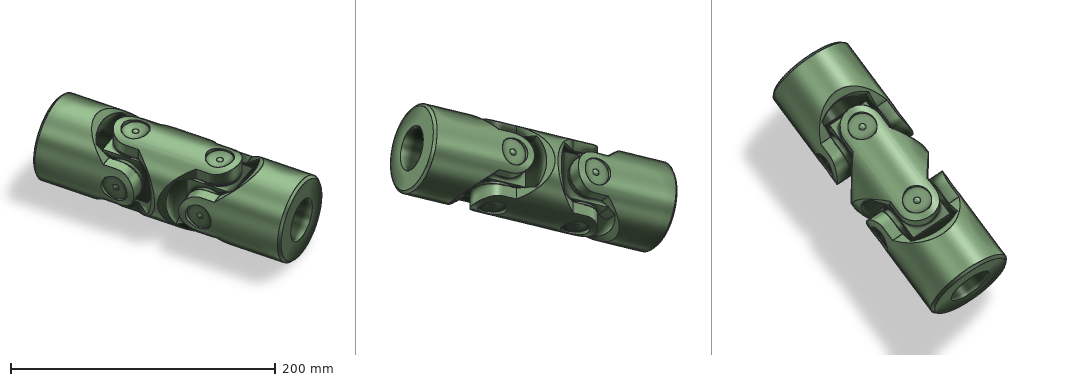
import cadquery as cq
import math

total_length = 212.0
body_diameter = 70.0
bore_diameter = 35.0
end_chamfer = 2.1
joint_spacing = 72.0

tine_width = 34.0
slope_inner_reach = 11.5
hub_slope_outer_reach = 34.0
hub_slot_depth = 33.0
yoke_slope_outer_reach = 34.8
yoke_slot_depth = 34.3
slot_width = 42.6
slot_arch_radius = 35.0
slot_disc_radius = 106.0

cross_length = 38.5
cross_height = 37.7
cross_width = 34.0
collar_diameter = 32.0
pin_diameter = 22.0
pin_reach = 31.8
pin_tip_diameter = 5.3
pin_tip_height = 1.0

body_radius = body_diameter / 2
tine_radius = tine_width / 2
middle_x = total_length / 2
left_joint_x = middle_x - joint_spacing / 2
right_joint_x = middle_x + joint_spacing / 2


def fork_outline(length, slope_outer_reach):
    """Plate whose rounded tine points to +X from the origin; its full-width back is at x = -length."""
    return (
        cq.Workplane("XZ", origin=(0, body_radius, 0))
        .moveTo(-length, body_radius)
        .lineTo(-slope_outer_reach, body_radius)
        .lineTo(-slope_inner_reach, tine_radius)
        .lineTo(0, tine_radius)
        .threePointArc((tine_radius, 0), (0, -tine_radius))
        .lineTo(-slope_inner_reach, -tine_radius)
        .lineTo(-slope_outer_reach, -body_radius)
        .lineTo(-length, -body_radius)
        .close()
        .extrude(body_diameter)
    )


def fork_slot(depth):
    """Slot between the two tines, left by a large disc about Y whose rim is arched outward."""
    half_width = slot_width / 2
    arch_rise = slot_arch_radius - math.sqrt(slot_arch_radius**2 - half_width**2)
    disc_centre_x = slot_disc_radius - depth
    return (
        cq.Workplane("XY", origin=(disc_centre_x, 0, 0))
        .moveTo(0, half_width)
        .lineTo(arch_rise - slot_disc_radius, half_width)
        .threePointArc((-slot_disc_radius, 0), (arch_rise - slot_disc_radius, -half_width))
        .lineTo(0, -half_width)
        .close()
        .revolve(360, (0, 0, 0), (0, 1, 0))
    )


def fork(length, slope_outer_reach, slot_depth):
    """Fork with tines on +Y and -Y, its pin holes at the origin and its back face at x = -length."""
    cylinder = cq.Workplane("YZ", origin=(-length, 0, 0)).circle(body_radius).extrude(length + body_radius)
    outline = fork_outline(length, slope_outer_reach)
    pin_hole = cq.Workplane("XZ").circle(pin_diameter / 2).extrude(body_radius, both=True)
    return cylinder.intersect(outline).cut(fork_slot(slot_depth)).cut(pin_hole)


def make_hub():
    """End hub opening toward +X, placed at the left joint."""
    bore = cq.Workplane("YZ").circle(bore_diameter / 2).extrude(total_length / 2)
    hub = fork(left_joint_x, hub_slope_outer_reach, hub_slot_depth).translate((left_joint_x, 0, 0))
    return hub.faces("<X").edges().chamfer(end_chamfer).cut(bore)


def make_yoke():
    """Double fork with tines on +Z and -Z at both ends."""
    right_half = (
        fork(joint_spacing / 2, yoke_slope_outer_reach, yoke_slot_depth)
        .rotate((0, 0, 0), (1, 0, 0), 90)
        .translate((right_joint_x, 0, 0))
    )
    left_half = right_half.mirror("YZ", (middle_x, 0, 0))
    return right_half.union(left_half)


def make_pin_tip():
    """Low dome standing on the flat pin end."""
    tip_radius = pin_tip_diameter / 2
    dome_radius = (tip_radius**2 + pin_tip_height**2) / (2 * pin_tip_height)
    dome = cq.Workplane("XY").sphere(dome_radius).translate((0, 0, pin_reach + pin_tip_height - dome_radius))
    envelope = cq.Workplane("XY", origin=(0, 0, pin_reach)).circle(tip_radius).extrude(pin_tip_height)
    return dome.intersect(envelope)


def make_arm():
    """One arm of the cross along +Z: collar, pin and domed tip."""
    collar = cq.Workplane("XY").circle(collar_diameter / 2).extrude(slot_width / 2)
    pin = cq.Workplane("XY").circle(pin_diameter / 2).extrude(pin_reach)
    return collar.union(pin).union(make_pin_tip())


def make_cross(joint_x):
    """Block with four arms along +Z, -Z, +Y and -Y."""
    cross = cq.Workplane("XY").box(cross_length, cross_width, cross_height)
    arm = make_arm()
    for turn in range(4):
        cross = cross.union(arm.rotate((0, 0, 0), (1, 0, 0), 90 * turn))
    return cross.translate((joint_x, 0, 0))


left_hub = make_hub()
right_hub = left_hub.mirror("YZ", (middle_x, 0, 0))
yoke = make_yoke()
crosses = [make_cross(joint_x).val() for joint_x in (left_joint_x, right_joint_x)]

result = cq.Compound.makeCompound([left_hub.val(), right_hub.val(), yoke.val(), *crosses])